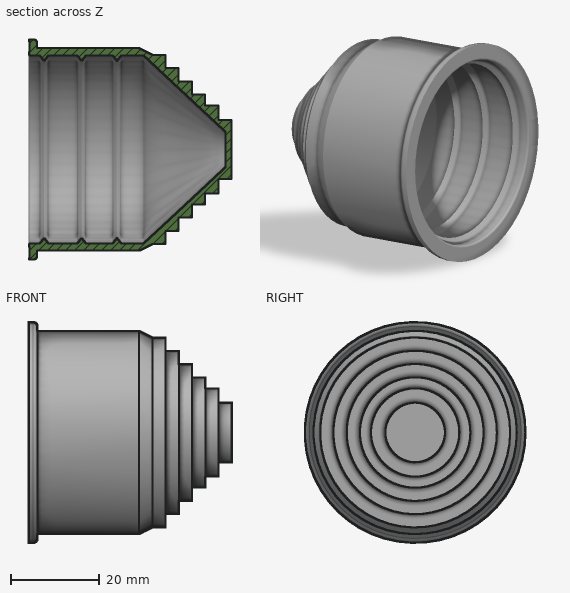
import cadquery as cq

length = 46.0
flange_radius = 25.0
flange_thickness = 2.0
flange_fillet = 1.0

body_radius = 23.0
body_end = 25.0

step_radii = [21.5, 18.5, 15.5, 12.5, 10.0, 6.75]
step_length = 3.0
nose_start = length - step_length * len(step_radii)

bore_radius = 21.25
mouth_fillet = 0.5
bore_end = 26.0
end_wall = 1.5
floor_x = length - end_wall
floor_radius = 4.0

rib_peaks = [3.5, 12.0, 20.0]
rib_peak_radius = 20.0
rib_half_width = 1.0

label_width = 2.5
label_height = 6.2
label_depth = 0.1
label_center_y = 23.3


def revolve_about_x(profile):
    """Turn a closed XY profile, with Y as radius, around the X axis."""
    return profile.close().revolve(360, (0, 0, 0), (1, 0, 0))


def make_outside():
    """Solid outside shape: flange, body, taper and stepped nose."""
    profile = (
        cq.Workplane("XY")
        .lineTo(0, flange_radius)
        .lineTo(flange_thickness - flange_fillet, flange_radius)
        .radiusArc((flange_thickness, flange_radius - flange_fillet), flange_fillet)
        .lineTo(flange_thickness, body_radius)
        .lineTo(body_end, body_radius)
    )
    for index, radius in enumerate(step_radii):
        step_start = nose_start + index * step_length
        profile = profile.lineTo(step_start, radius)
        profile = profile.lineTo(step_start + step_length, radius)
    return revolve_about_x(profile.lineTo(length, 0))


def make_bore():
    """Solid shape of the hollow, notched where the ribs stand."""
    profile = (
        cq.Workplane("XY")
        .lineTo(0, bore_radius + mouth_fillet)
        .radiusArc((mouth_fillet, bore_radius), -mouth_fillet)
    )
    for peak_x in rib_peaks:
        profile = (
            profile.lineTo(peak_x - rib_half_width, bore_radius)
            .lineTo(peak_x, rib_peak_radius)
            .lineTo(peak_x + rib_half_width, bore_radius)
        )
    profile = (
        profile.lineTo(bore_end, bore_radius)
        .lineTo(floor_x, floor_radius)
        .lineTo(floor_x, 0)
    )
    return revolve_about_x(profile)


def make_label_recesses():
    """Two flat blocks that sink the label fields into the mouth face."""
    return (
        cq.Workplane("YZ")
        .pushPoints([(-label_center_y, 0), (label_center_y, 0)])
        .rect(label_width, label_height)
        .extrude(label_depth)
    )


result = make_outside().cut(make_bore()).cut(make_label_recesses())